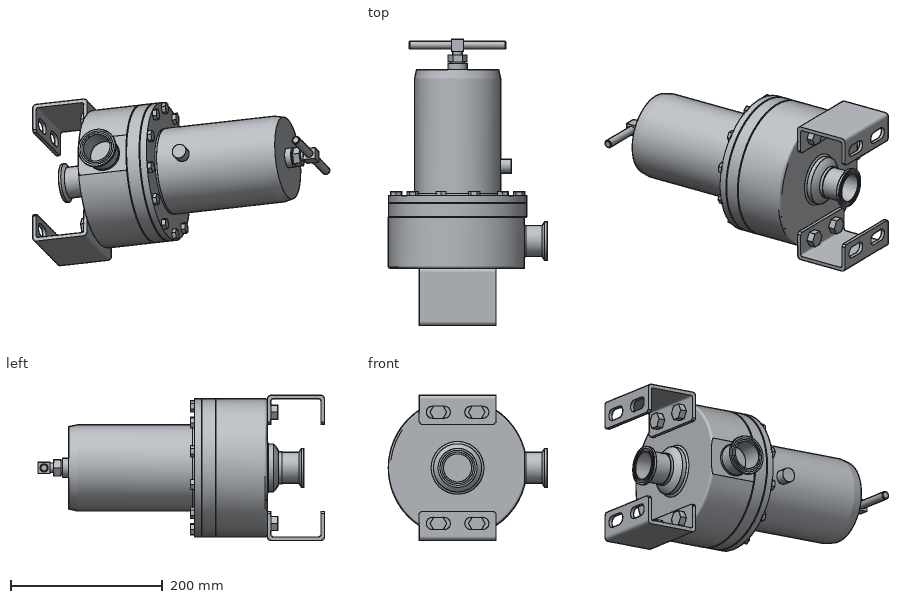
import cadquery as cq


body_radius = 91.5
body_edge_fillet = 3.0
drum_top = 67.5
ring_top = 86.0
cover_top = 96.0
gasket_thickness = 1.0
gasket_inset = 0.5
port_flat_x = 88.0

housing_radius = 57.0
housing_seat_radius = 56.7
housing_seat_top = 98.7
housing_shoulder = 250.0
housing_end = 262.0
housing_end_radius = 54.5

vent_radius = 9.5
vent_y = 134.5
vent_end_x = 71.0

boss_radius = 13.0
boss_end = 270.5
neck_radius = 9.0
nut_start = 272.5
nut_end = 281.8
nut_corners = 25.5
screw_radius = 6.5
handle_block_start = 286.3
handle_block_end = 302.5
handle_block_width = 16.3
handle_block_height = 15.0
handle_radius = 5.3
handle_length = 128.0
handle_chamfer = 1.0

cover_bolt_count = 12
cover_bolt_circle_radius = 84.0
cover_bolt_corners = 15.0
cover_bolt_height = 5.3
cover_bolt_twist = 15

tube_diameter = 41.2
tube_radius = tube_diameter / 2
bore_radius = 18.5
ferrule_radius = 25.7
ferrule_rim = 3.5
ferrule_cone = 3.5
seal_groove_radius = 22.0
seal_groove_width = 2.3
seal_groove_depth = 1.0
weld_length = 2.0

inlet_length = 48.5
reducer_radius = 31.8
reducer_weld_radius = 34.8
reducer_straight = 8.0
collar_radius = 21.5
knuckle_bulge = 1.5
collar_start = 15.0
collar_end = 19.3

outlet_weld_radius = 21.5
outlet_y = 36.0
outlet_end_x = 118.5

foot_width = 101.7
foot_depth = 75.5
foot_overall_height = 191.8
foot_outer_z = foot_overall_height / 2
foot_lip_z = 57.5
foot_thickness = 5.0
foot_outer_bend_radius = 5.3
foot_inner_bend_radius = 3.0
foot_corner_chamfer = 3.0
slot_length = 31.8
slot_height = 16.0
slot_spacing = 50.5
slot_z = 73.5
foot_bolt_corners = 22.0
foot_bolt_height = 9.0


def plane_at(y):
    """Plane facing +Y at the given station, with local x along +X and local y along -Z."""
    return cq.Plane(origin=(0, y, 0), xDir=(1, 0, 0), normal=(0, 1, 0))


def disc(radius, start, end):
    return cq.Workplane(plane_at(start)).circle(radius).extrude(end - start)


def hexagon(corners, start, end):
    return cq.Workplane(plane_at(start)).polygon(6, corners).extrude(end - start)


def make_body():
    drum = disc(body_radius, 0, drum_top).faces("<Y").edges().fillet(body_edge_fillet)
    flat_cutter = cq.Workplane("XY").box(
        body_radius, drum_top, 2 * body_radius, centered=(False, False, True)
    )
    body = drum.cut(flat_cutter.translate((port_flat_x, 0, 0)))
    for gasket_start, ring_end in ((drum_top, ring_top), (ring_top, cover_top)):
        gasket_end = gasket_start + gasket_thickness
        body = body.union(disc(body_radius - gasket_inset, gasket_start, gasket_end))
        body = body.union(disc(body_radius, gasket_end, ring_end))
    return body


def make_housing():
    profile = (
        cq.Workplane("XY")
        .moveTo(0, cover_top)
        .lineTo(housing_seat_radius, cover_top)
        .lineTo(housing_seat_radius, housing_seat_top)
        .lineTo(housing_radius, housing_seat_top)
        .lineTo(housing_radius, housing_shoulder)
        .lineTo(housing_end_radius, housing_end)
        .lineTo(0, housing_end)
        .close()
    )
    housing = profile.revolve(360, (0, 0, 0), (0, 1, 0))
    vent = cq.Workplane("YZ").center(vent_y, 0).circle(vent_radius).extrude(vent_end_x)
    return housing.union(vent)


def make_adjuster():
    block_length = handle_block_end - handle_block_start
    block_center_y = handle_block_start + block_length / 2
    handle = (
        cq.Workplane("YZ")
        .center(block_center_y, 0)
        .circle(handle_radius)
        .extrude(handle_length / 2, both=True)
        .faces("<X or >X")
        .chamfer(handle_chamfer)
    )
    block = cq.Workplane("XY").box(handle_block_width, block_length, handle_block_height)
    return (
        disc(boss_radius, housing_end, boss_end)
        .union(disc(neck_radius, boss_end, nut_start))
        .union(hexagon(nut_corners, nut_start, nut_end))
        .union(disc(screw_radius, nut_end, handle_block_start))
        .union(block.translate((0, block_center_y, 0)))
        .union(handle)
    )


def make_cover_bolts():
    head = (
        hexagon(cover_bolt_corners, cover_top, cover_top + cover_bolt_height)
        .rotate((0, 0, 0), (0, 1, 0), cover_bolt_twist)
        .translate((cover_bolt_circle_radius, 0, 0))
    )
    step = 360 / cover_bolt_count
    bolts = cq.Workplane("XY")
    for index in range(cover_bolt_count):
        bolts = bolts.add(head.rotate((0, 0, 0), (0, 1, 0), (index + 0.5) * step))
    return bolts.combine()


def make_ferrule_tube(length):
    """Bored tube along -Y from the origin, ending in a grooved clamp rim."""
    rim_start = length - ferrule_rim
    tube = (
        cq.Workplane("XY")
        .moveTo(0, 0)
        .lineTo(tube_radius, 0)
        .lineTo(tube_radius, -(rim_start - ferrule_cone))
        .lineTo(ferrule_radius, -rim_start)
        .lineTo(ferrule_radius, -length)
        .lineTo(0, -length)
        .close()
        .revolve(360, (0, 0, 0), (0, 1, 0))
    )
    seal_groove = (
        cq.Workplane("XY")
        .moveTo(seal_groove_radius - seal_groove_width / 2, -length)
        .threePointArc(
            (seal_groove_radius, -length + seal_groove_depth),
            (seal_groove_radius + seal_groove_width / 2, -length),
        )
        .close()
        .revolve(360, (0, 0, 0), (0, 1, 0))
    )
    bore = disc(bore_radius, -length, 0)
    return tube.cut(seal_groove).cut(bore)


def make_inlet():
    knuckle_point = (
        (reducer_radius + collar_radius) / 2 + knuckle_bulge,
        -(reducer_straight + collar_start) / 2,
    )
    reducer = (
        cq.Workplane("XY")
        .moveTo(bore_radius, 0)
        .lineTo(reducer_weld_radius, 0)
        .lineTo(reducer_radius, -weld_length)
        .lineTo(reducer_radius, -reducer_straight)
        .threePointArc(knuckle_point, (collar_radius, -collar_start))
        .lineTo(collar_radius, -collar_end)
        .lineTo(bore_radius, -collar_end)
        .close()
        .revolve(360, (0, 0, 0), (0, 1, 0))
    )
    return reducer.union(make_ferrule_tube(inlet_length))


def make_outlet():
    weld = (
        cq.Workplane("XY")
        .moveTo(bore_radius, 0)
        .lineTo(outlet_weld_radius, 0)
        .lineTo(tube_radius, -weld_length)
        .lineTo(bore_radius, -weld_length)
        .close()
        .revolve(360, (0, 0, 0), (0, 1, 0))
    )
    outlet = make_ferrule_tube(outlet_end_x - port_flat_x).union(weld)
    return outlet.rotate((0, 0, 0), (0, 0, 1), 90).translate((port_flat_x, outlet_y, 0))


def make_foot():
    """Upper foot with its two bolts; the open side faces the main axis."""
    height = foot_outer_z - foot_lip_z
    outer = (
        cq.Workplane("XY")
        .box(foot_width, foot_depth, height)
        .edges("|Y and <Z")
        .chamfer(foot_corner_chamfer)
        .edges("|X and >Z")
        .fillet(foot_outer_bend_radius)
    )
    channel = (
        cq.Workplane("XY")
        .box(foot_width, foot_depth - 2 * foot_thickness, height)
        .edges("|X and >Z")
        .fillet(foot_inner_bend_radius)
        .translate((0, 0, -foot_thickness))
    )
    foot_center = (0, -foot_depth / 2, (foot_outer_z + foot_lip_z) / 2)
    foot = outer.cut(channel).translate(foot_center)
    for x in (-slot_spacing / 2, slot_spacing / 2):
        slot = (
            cq.Workplane(plane_at(-foot_depth))
            .slot2D(slot_length, slot_height)
            .extrude(foot_thickness)
            .translate((x, 0, slot_z))
        )
        bolt = hexagon(foot_bolt_corners, -foot_thickness - foot_bolt_height, -foot_thickness)
        foot = foot.cut(slot).union(bolt.translate((x, 0, slot_z)))
    return foot


upper_foot = make_foot()
result = (
    make_body()
    .union(make_housing())
    .union(make_adjuster())
    .union(make_cover_bolts())
    .union(make_inlet())
    .union(make_outlet())
    .union(upper_foot)
    .union(upper_foot.mirror("XY"))
)